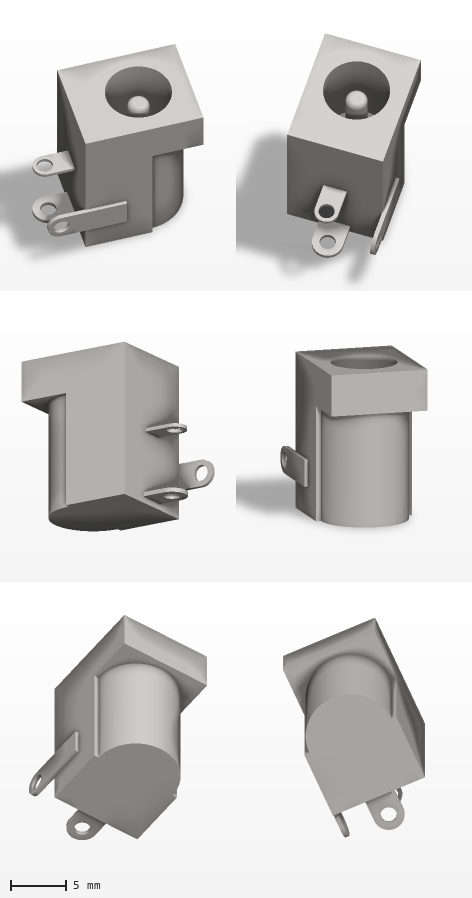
import cadquery as cq

body_width = 9.13
body_height = 14.48
back_y = 4.82
front_y = -6.34
head_height = 3.81
barrel_radius = 4.08

socket_radius = 3.05
socket_depth = 9.02
pin_radius = 1.0
pin_recess = 1.4
pin_round = 0.5

tip_y = front_y - 3.62
lug_hole_radius = 0.74
root_depth = 0.3
lower_lug_width = 2.87
lower_lug_thickness = 0.4
lower_lug_z = 0.59
upper_lug_width = 2.22
upper_lug_thickness = 0.33
upper_lug_z = 6.83
side_lug_width = 2.51
side_lug_thickness = 0.4
side_lug_z = 3.98
side_lug_protrusion = 0.34
side_lug_length = 7.45


def make_housing():
    """Rectangular head above a body whose back is a narrower round barrel."""
    shoulder_z = body_height - head_height
    head = (
        cq.Workplane("XY", origin=(0, 0, shoulder_z))
        .rect(body_width, 2 * back_y)
        .extrude(head_height)
    )
    block = (
        cq.Workplane("XY", origin=(0, front_y / 2, 0))
        .rect(body_width, -front_y)
        .extrude(body_height)
    )
    barrel = cq.Workplane("XY").circle(barrel_radius).extrude(shoulder_z)
    return block.union(head).union(barrel)


def make_pin():
    """Centre pin with a rounded end, rising from the socket floor."""
    floor_z = body_height - socket_depth
    return (
        cq.Workplane("XY", origin=(0, 0, floor_z))
        .circle(pin_radius)
        .extrude(socket_depth - pin_recess)
        .faces(">Z")
        .edges()
        .fillet(pin_round)
    )


def make_lug(width, thickness, length):
    """Flat lug on the XY plane, its round end touching tip_y, with a concentric hole."""
    radius = width / 2
    centre_y = tip_y + radius
    root_y = tip_y + length
    return (
        cq.Workplane("XY")
        .moveTo(-radius, root_y)
        .lineTo(-radius, centre_y)
        .threePointArc((0, tip_y), (radius, centre_y))
        .lineTo(radius, root_y)
        .close()
        .moveTo(0, centre_y)
        .circle(lug_hole_radius)
        .extrude(thickness)
    )


socket = (
    cq.Workplane("XY", origin=(0, 0, body_height))
    .circle(socket_radius)
    .extrude(-socket_depth)
)

front_lug_length = front_y - tip_y + root_depth
lower_lug = make_lug(lower_lug_width, lower_lug_thickness, front_lug_length)
lower_lug = lower_lug.translate((0, 0, lower_lug_z))
upper_lug = make_lug(upper_lug_width, upper_lug_thickness, front_lug_length)
upper_lug = upper_lug.translate((0, 0, upper_lug_z))

side_lug_x = body_width / 2 + side_lug_protrusion - side_lug_thickness
side_lug = make_lug(side_lug_width, side_lug_thickness, side_lug_length)
side_lug = side_lug.rotate((0, 0, 0), (0, 1, 0), 90)
side_lug = side_lug.translate((side_lug_x, 0, side_lug_z))

result = make_housing().cut(socket).union(make_pin())
for lug in (lower_lug, upper_lug, side_lug):
    result = result.union(lug)